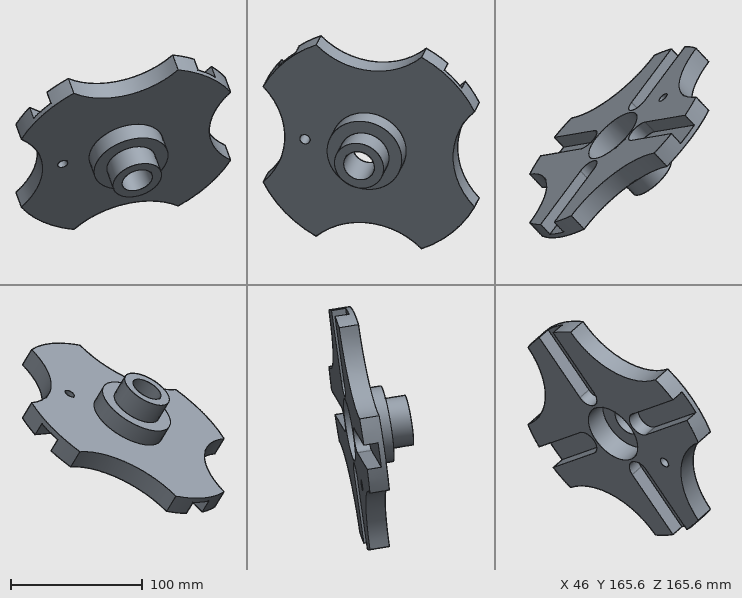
import cadquery as cq
import math

plate_span = 165.6
plate_thickness = 15.0
arm_tip_offset = 41.2
scallop_floor = 65.9
arm_count = 4
arm_step = 360 / arm_count

hub_diameter = 58.5
hub_end = 29.0
spigot_diameter = 38.5
total_length = 46.0

bore_diameter = 24.0
recess_diameter = 48.0
recess_depth = 17.5
pin_hole_diameter = 8.0
pin_hole_radius = 50.0

slot_width = 19.2
slot_depth = 11.0
slot_end_center = 36.0

half_span = plate_span / 2
rim_radius = math.hypot(half_span, arm_tip_offset)
scallop_rise = half_span - scallop_floor
scallop_radius = (arm_tip_offset**2 + scallop_rise**2) / (2 * scallop_rise)
scallop_center = scallop_floor + scallop_radius


def cylinder(diameter, length, start=0.0):
    """Cylinder along X, from x = start."""
    return cq.Workplane("YZ", origin=(start, 0, 0)).circle(diameter / 2).extrude(length)


def make_plate():
    plate = cylinder(2 * rim_radius, plate_thickness)
    scallops = (
        cq.Workplane("YZ")
        .polarArray(scallop_center, 0, 360, arm_count)
        .circle(scallop_radius)
        .extrude(plate_thickness)
    )
    return plate.cut(scallops)


def make_slot(angle):
    """Round-ended slot that runs outward through the rim."""
    slot_length = rim_radius - slot_end_center
    channel = (
        cq.Workplane("YZ")
        .center(slot_end_center + slot_length / 2, 0)
        .rect(slot_length, slot_width)
        .extrude(slot_depth)
    )
    round_end = cylinder(slot_width, slot_depth).translate((0, slot_end_center, 0))
    return channel.union(round_end).rotate((0, 0, 0), (1, 0, 0), angle)


result = make_plate()
result = result.union(cylinder(hub_diameter, hub_end))
result = result.union(cylinder(spigot_diameter, total_length))

result = result.cut(cylinder(recess_diameter, recess_depth))
result = result.cut(cylinder(bore_diameter, total_length))
pin_hole = cylinder(pin_hole_diameter, plate_thickness)
result = result.cut(pin_hole.translate((0, -pin_hole_radius, 0)))

for index in range(arm_count):
    result = result.cut(make_slot((index + 0.5) * arm_step))